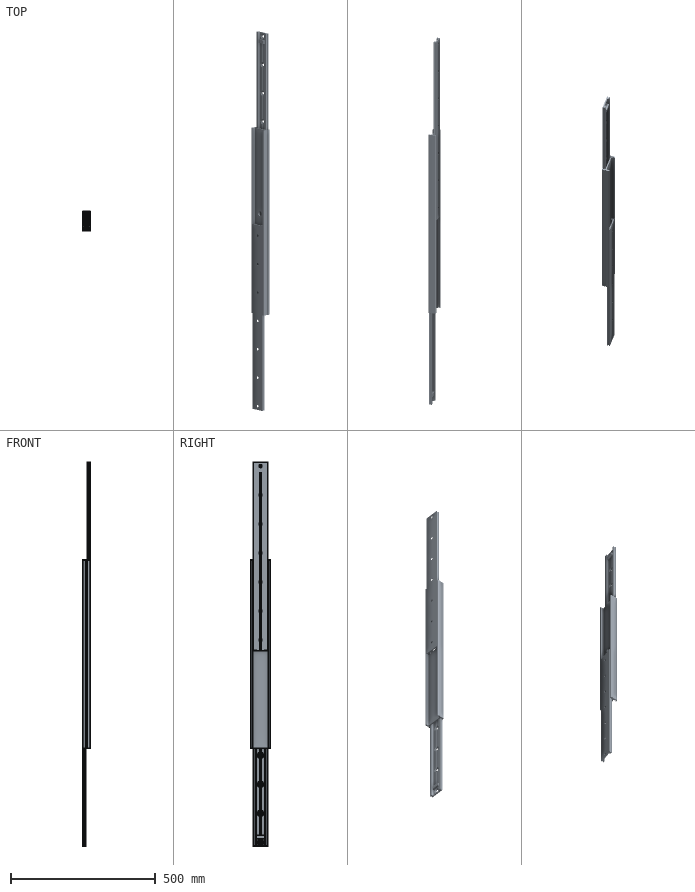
import cadquery as cq

total_length = 1325.0
total_depth = 26.0
total_width = 68.0
member_length = 650.0
middle_bottom = (total_length - member_length) / 2

middle_web = 4.0
middle_wall = 7.0
middle_fillet = 3.3
side_groove_width = 4.0
side_groove_depth = 1.0
sight_hole_diameter = 17.0
sight_hole_z = 689.0

rail_depth = 10.0
rail_width = 52.0
rail_web = 4.0
flange_thickness = 8.0
inner_chamfer = 4.0
race_radius = 3.0
race_from_face = rail_depth / 2
guide_width = 4.0
guide_depth = 1.0

hole_diameter = 8.6
countersink_diameter = 20.0
countersink_depth = 3.3
hole_count = 7
first_hole = 13.0
last_hole = 613.0
hole_pitch = (last_hole - first_hole) / (hole_count - 1)

stop_length = 12.0
stop_height = 7.0
stop_from_end = 25.0


def bar(x_min, x_max, width, z_min, length):
    """Upright bar centred on Y."""
    return cq.Workplane("XY", origin=(x_min, 0, z_min)).box(
        x_max - x_min, width, length, centered=(False, True, False)
    )


def race_rods(x, y, z_min, length):
    """A pair of rods that cut the ball races at +Y and -Y."""
    return (
        cq.Workplane("XY", origin=(0, 0, z_min))
        .pushPoints([(x, y), (x, -y)])
        .circle(race_radius)
        .extrude(length)
    )


def make_middle():
    """Middle profile: one channel toward -X and one toward +X, back to back."""
    half_depth = total_depth / 2
    inner_width = total_width - 2 * middle_wall
    body = bar(-half_depth, half_depth, total_width, middle_bottom, member_length)
    body = body.edges("|Z").fillet(middle_fillet)
    for x_min, x_max in ((-half_depth, -middle_web / 2), (middle_web / 2, half_depth)):
        body = body.cut(bar(x_min, x_max, inner_width, middle_bottom, member_length))
    race_x = half_depth - race_from_face
    for x in (-race_x, race_x):
        body = body.cut(race_rods(x, inner_width / 2, middle_bottom, member_length))
    half_groove = side_groove_width / 2
    groove_floor_width = total_width - 2 * side_groove_depth
    groove = bar(-half_groove, half_groove, total_width, middle_bottom, member_length)
    core = bar(-half_groove, half_groove, groove_floor_width, middle_bottom, member_length)
    body = body.cut(groove.cut(core))
    sight_hole = (
        cq.Workplane("YZ", origin=(-middle_web, 0, sight_hole_z))
        .circle(sight_hole_diameter / 2)
        .extrude(2 * middle_web)
    )
    return body.cut(sight_hole)


def screw_cutter(face, z):
    """Countersunk hole: straight through the web, flaring out at its inner face."""
    hole_radius = hole_diameter / 2
    head_radius = countersink_diameter / 2
    return (
        cq.Workplane("XY", origin=(face, 0, z))
        .polyline([
            (0, 0),
            (0, hole_radius),
            (rail_web - countersink_depth, hole_radius),
            (rail_web, head_radius),
            (rail_web, 0),
        ])
        .close()
        .revolve(360, (0, 0, 0), (1, 0, 0))
    )


def make_rail():
    """Lower rail: web on the -X face, open toward +X, lower end at Z = 0."""
    face = -total_depth / 2
    web_inside = face + rail_web
    open_side = face + rail_depth
    half_inside = rail_width / 2 - flange_thickness
    body = bar(face, open_side, rail_width, 0, member_length)
    channel = (
        cq.Workplane("XY")
        .moveTo(open_side, -half_inside)
        .lineTo(web_inside + inner_chamfer, -half_inside)
        .lineTo(web_inside, inner_chamfer - half_inside)
        .lineTo(web_inside, half_inside - inner_chamfer)
        .lineTo(web_inside + inner_chamfer, half_inside)
        .lineTo(open_side, half_inside)
        .close()
        .extrude(member_length)
    )
    body = body.cut(channel)
    body = body.cut(race_rods(face + race_from_face, rail_width / 2, 0, member_length))
    guide_length = member_length - stop_from_end
    body = body.cut(bar(web_inside - guide_depth, web_inside, guide_width, stop_from_end, guide_length))
    stop_width = 2 * (half_inside - inner_chamfer)
    stop_top = web_inside + stop_height
    body = body.union(bar(web_inside - guide_depth, stop_top, stop_width, stop_from_end, stop_length))
    for hole in range(hole_count):
        body = body.cut(screw_cutter(face, first_hole + hole * hole_pitch))
    return body


middle = make_middle()
lower_rail = make_rail()
upper_rail = lower_rail.rotate((0, 0, total_length / 2), (0, 1, total_length / 2), 180)
bodies = [middle, lower_rail, upper_rail]
result = cq.Compound.makeCompound([body.solids().val() for body in bodies])